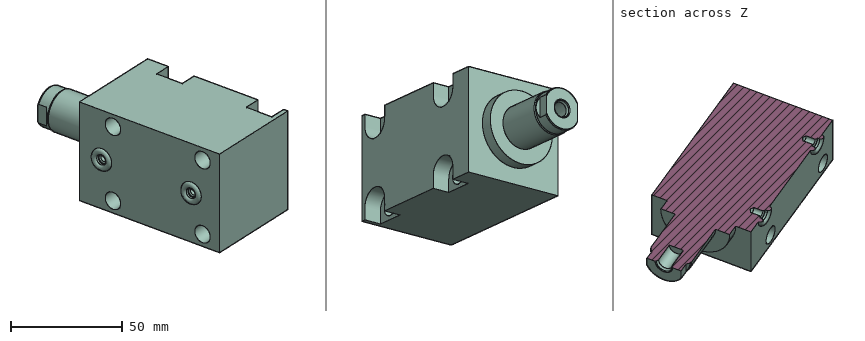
import cadquery as cq
import math

body_length = 79.5
body_side = 50.8
body_depth = 50.5
front_y = -body_depth / 2
rear_y = body_depth / 2

total_length = 115.82
spindle_length = total_length - body_length
tip_x = -spindle_length
flange_diameter = 35.0
flange_length = 5.9
shaft_diameter = 20.7
nose_diameter = 20.0
nose_length = 6.65
tip_diameter = 19.4
taper_length = 0.65
flat_width = 17.5
flat_length = 5.0
bore_diameter = 6.9
bore_lead_diameter = 8.0
bore_lead_angle = 50.0
bore_mouth_diameter = 8.8
bore_mouth_angle = 90.0
bore_depth = 12.0

hole_diameter = 8.73
first_hole_x = 19.05
hole_pitch_x = 50.8
hole_offset_z = 19.05
slot_width = 14.5
slot_depth = 8.7

first_port_x = 12.7
seal_section = 3.1
seal_inside_diameter = 5.1
seal_height = 1.49
port_mouth_diameter = 5.2
port_countersink_diameter = 4.3
port_countersink_angle = 90.0
port_diameter = 3.1
port_mouth_depth = 0.8
port_depth = 6.0
drill_point_angle = 118.0


def cone_depth(large_diameter, small_diameter, included_angle):
    """Axial length of a cone between two diameters."""
    return (large_diameter - small_diameter) / 2 / math.tan(math.radians(included_angle / 2))


def make_spindle():
    """Stepped shaft with lead-in tapers and a flange against the body."""
    profile = [
        (0, 0),
        (tip_x, 0),
        (tip_x, tip_diameter / 2),
        (tip_x + taper_length, nose_diameter / 2),
        (tip_x + nose_length, nose_diameter / 2),
        (tip_x + nose_length + taper_length, shaft_diameter / 2),
        (-flange_length, shaft_diameter / 2),
        (-flange_length, flange_diameter / 2),
        (0, flange_diameter / 2),
    ]
    return cq.Workplane("XY").polyline(profile).close().revolve(360, (0, 0, 0), (1, 0, 0))


def make_wrench_flat(side):
    """Cutter for one flat on the nose (side = +1 or -1 in Y), ending in a 45 degree ramp."""
    ramp = (shaft_diameter - flat_width) / 2
    outline = [
        (tip_x, side * flat_width / 2),
        (tip_x + flat_length, side * flat_width / 2),
        (tip_x + flat_length + ramp, side * shaft_diameter / 2),
        (tip_x, side * shaft_diameter / 2),
    ]
    return cq.Workplane("XY").polyline(outline).close().extrude(shaft_diameter / 2, both=True)


def make_spindle_bore():
    """Blind bore in the spindle tip with a wide countersink leading into a steeper one."""
    mouth_depth = cone_depth(bore_mouth_diameter, bore_lead_diameter, bore_mouth_angle)
    lead_depth = cone_depth(bore_lead_diameter, bore_diameter, bore_lead_angle)
    profile = [
        (tip_x, 0),
        (tip_x, bore_mouth_diameter / 2),
        (tip_x + mouth_depth, bore_lead_diameter / 2),
        (tip_x + mouth_depth + lead_depth, bore_diameter / 2),
        (tip_x + bore_depth, bore_diameter / 2),
        (tip_x + bore_depth, 0),
    ]
    return cq.Workplane("XY").polyline(profile).close().revolve(360, (0, 0, 0), (1, 0, 0))


def make_mounting_hole(x, side):
    """Through hole along Y plus its round-ended slot, open at the body side (side = +1 or -1 in Z)."""
    z = side * hole_offset_z
    run_out = body_side / 2 - hole_offset_z
    hole = cq.Workplane("XZ", origin=(x, rear_y, z)).circle(hole_diameter / 2).extrude(body_depth)
    seat = cq.Workplane("XZ", origin=(x, rear_y, z)).circle(slot_width / 2).extrude(slot_depth)
    slot = (
        cq.Workplane("XZ", origin=(x, rear_y, z + side * run_out / 2))
        .rect(slot_width, run_out)
        .extrude(slot_depth)
    )
    return hole.union(seat).union(slot)


def make_seal(x):
    """Ring seal partly sunk in the front face."""
    section_radius = seal_section / 2
    ring_radius = (seal_inside_diameter + seal_section) / 2
    centre_y = front_y - seal_height + section_radius
    return (
        cq.Workplane("XY", origin=(x, centre_y, 0))
        .center(ring_radius, 0)
        .circle(section_radius)
        .revolve(360, (-ring_radius, 0, 0), (-ring_radius, 1, 0))
    )


def make_port(x):
    """Blind port in the middle of a seal, with a wider mouth, a countersink and a drill-point bottom."""
    port_radius = port_diameter / 2
    mouth_radius = port_mouth_diameter / 2
    countersink_radius = port_countersink_diameter / 2
    countersink_depth = cone_depth(port_countersink_diameter, port_diameter, port_countersink_angle)
    point_length = cone_depth(port_diameter, 0, drill_point_angle)
    profile = [
        (0, -seal_height),
        (mouth_radius, -seal_height),
        (mouth_radius, port_mouth_depth),
        (countersink_radius, port_mouth_depth),
        (port_radius, port_mouth_depth + countersink_depth),
        (port_radius, port_depth),
        (0, port_depth + point_length),
    ]
    return (
        cq.Workplane("XY", origin=(x, front_y, 0))
        .polyline(profile)
        .close()
        .revolve(360, (0, 0, 0), (0, 1, 0))
    )


body = cq.Workplane("XY").box(body_length, body_depth, body_side, centered=(False, True, True))
result = body.union(make_spindle())

for side in (-1, 1):
    result = result.cut(make_wrench_flat(side))
result = result.cut(make_spindle_bore())

for column in (0, 1):
    hole_x = first_hole_x + column * hole_pitch_x
    for side in (-1, 1):
        result = result.cut(make_mounting_hole(hole_x, side))

for column in (0, 1):
    port_x = first_port_x + column * hole_pitch_x
    result = result.union(make_seal(port_x)).cut(make_port(port_x))